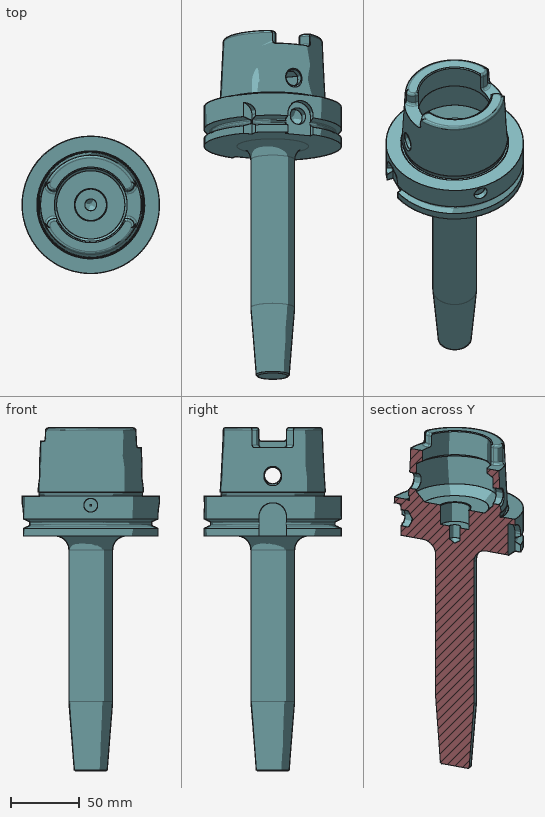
import cadquery as cq
import math


TAPER_TOP = 49.9
GAUGE_HEIGHT = 20.0
GAUGE_RADIUS = 37.5
TAPER_SLOPE = 1 / 20

RELIEF_TOP = 3.2
RELIEF_RADIUS = 37.8
RELIEF_BEND = 1.6
RELIEF_ROOT_RADIUS = 37.4
RELIEF_CHAMFER = 0.5
RELIEF_OUTER_RADIUS = 39.3
RELIEF_DEPTH = 0.5

FLANGE_RADIUS = 50.0
FLANGE_THICKNESS = 29.0
GROOVE_HEIGHT = -20.0
GROOVE_MOUTH_WIDTH = 6.9
GROOVE_FLOOR_WIDTH = 2.6
GROOVE_FLOOR_RADIUS = 45.4
GROOVE_FILLET = 1.0

NECK_RADIUS = 16.0
NECK_FILLET = 10.0
NOSE_BOTTOM = -200.0
NOSE_RADIUS = 12.0
NOSE_ANGLE = 4.5
NOSE_CHAMFER = 1.0

MOUTH_RADIUS = 26.5
MOUTH_CHAMFER_WIDTH = 1.0
MOUTH_CHAMFER_DEPTH = 0.5
SHOULDER_TOP = 31.6
SHOULDER_ANGLE = 60.0
CAVITY_RADIUS = 31.5
CAVITY_FLOOR_RADIUS = 24.8
CAVITY_FLOOR = 0.5

SEAT_RADIUS = 11.4
SEAT_CHAMFER = 0.5
SEAT_DEPTH = 15.0
DRILL_RADIUS = 4.3
DRILL_DEPTH = 10.0
DRILL_HALF_ANGLE = 59.0

RIM_SLOT_WIDTH = 20.0
RIM_SLOT_CORNER = 5.0
LUG_REACH = 31.7
SHALLOW_SLOT_FLOOR = 40.0
DEEP_SLOT_FLOOR = 35.3
RIM_SLOT_FILLET = 2.0
LUG_TOP_FILLET = 2.0

ACCESS_RADIUS = 6.0
ACCESS_HEIGHT = 15.0
ACCESS_SINK_START = 36.7

KEYWAY_WIDTH = 20.0
KEYWAY_FLOOR = 44.4
KEYWAY_CENTER_HEIGHT = -14.8
KEYWAY_DRILL_RADIUS = 6.1
KEYWAY_DRILL_HEIGHT = -15.2
KEYWAY_DRILL_DEPTH = 6.0
NOTCH_WIDTH = 18.0
NOTCH_FLOOR = 32.4
NOTCH_SIDE = 31.2

CHIP_RADIUS = 5.0
CHIP_HEIGHT = -6.6
CHIP_FLOOR = 45.4
CHIP_PILOT_RADIUS = 0.6
CHIP_PILOT_DEPTH = 1.0

SEAM_ANGLE = 70.0
CUT_REACH = 60.0


def taper_radius(height):
    return GAUGE_RADIUS + (GAUGE_HEIGHT - height) * TAPER_SLOPE


def cone_depth(radius):
    """Depth of a drill point of the given radius."""
    return radius / math.tan(math.radians(DRILL_HALF_ANGLE))


def revolve(outline):
    """Turn an outline drawn as (radius, height) about the Z axis, its seam clear of the slots and pockets."""
    turned = outline.close().revolve(360, (0, 0, 0), (0, 1, 0))
    return turned.rotate((0, 0, 0), (0, 0, 1), SEAM_ANGLE)


def make_body():
    flange_bottom = -FLANGE_THICKNESS
    fillet_edge_radius = NECK_RADIUS + NECK_FILLET
    fillet_end = flange_bottom - NECK_FILLET
    arc_offset = NECK_FILLET * math.sqrt(0.5)
    taper_length = (NECK_RADIUS - NOSE_RADIUS) / math.tan(math.radians(NOSE_ANGLE))
    outline = (
        cq.Workplane("XZ")
        .moveTo(0, TAPER_TOP)
        .lineTo(taper_radius(TAPER_TOP), TAPER_TOP)
        .lineTo(taper_radius(RELIEF_TOP), RELIEF_TOP)
        .lineTo(RELIEF_RADIUS, RELIEF_TOP - RELIEF_CHAMFER)
        .lineTo(RELIEF_RADIUS, RELIEF_BEND)
        .lineTo(RELIEF_ROOT_RADIUS, -RELIEF_DEPTH)
        .lineTo(RELIEF_OUTER_RADIUS - RELIEF_DEPTH, -RELIEF_DEPTH)
        .lineTo(RELIEF_OUTER_RADIUS, 0)
        .lineTo(FLANGE_RADIUS, 0)
        .lineTo(FLANGE_RADIUS, flange_bottom)
        .lineTo(fillet_edge_radius, flange_bottom)
        .threePointArc(
            (fillet_edge_radius - arc_offset, fillet_end + arc_offset), (NECK_RADIUS, fillet_end)
        )
        .lineTo(NECK_RADIUS, NOSE_BOTTOM + taper_length)
        .lineTo(NOSE_RADIUS, NOSE_BOTTOM)
        .lineTo(0, NOSE_BOTTOM)
    )
    return revolve(outline).faces("<Z").chamfer(NOSE_CHAMFER)


def make_gripper_groove():
    """Ring-shaped groove around the flange, with sloped walls and rounded floor corners."""
    outline = (
        cq.Workplane("XZ")
        .moveTo(FLANGE_RADIUS, GROOVE_HEIGHT + GROOVE_MOUTH_WIDTH / 2)
        .lineTo(GROOVE_FLOOR_RADIUS, GROOVE_HEIGHT + GROOVE_FLOOR_WIDTH / 2)
        .lineTo(GROOVE_FLOOR_RADIUS, GROOVE_HEIGHT - GROOVE_FLOOR_WIDTH / 2)
        .lineTo(FLANGE_RADIUS, GROOVE_HEIGHT - GROOVE_MOUTH_WIDTH / 2)
    )
    floor_corners = cq.selectors.RadiusNthSelector(0)
    return revolve(outline).edges(floor_corners).fillet(GROOVE_FILLET)


def make_cavity():
    """Clamping bore with its undercut, the threaded seat and the pointed drilling."""
    shoulder_drop = (CAVITY_RADIUS - MOUTH_RADIUS) / math.tan(math.radians(SHOULDER_ANGLE))
    seat_floor = CAVITY_FLOOR - SEAT_DEPTH
    drill_end = seat_floor - DRILL_DEPTH
    outline = (
        cq.Workplane("XZ")
        .moveTo(0, TAPER_TOP)
        .lineTo(MOUTH_RADIUS + MOUTH_CHAMFER_WIDTH, TAPER_TOP)
        .lineTo(MOUTH_RADIUS, TAPER_TOP - MOUTH_CHAMFER_DEPTH)
        .lineTo(MOUTH_RADIUS, SHOULDER_TOP)
        .lineTo(CAVITY_RADIUS, SHOULDER_TOP - shoulder_drop)
        .lineTo(CAVITY_RADIUS, CAVITY_FLOOR + CAVITY_RADIUS - CAVITY_FLOOR_RADIUS)
        .lineTo(CAVITY_FLOOR_RADIUS, CAVITY_FLOOR)
        .lineTo(SEAT_RADIUS + SEAT_CHAMFER, CAVITY_FLOOR)
        .lineTo(SEAT_RADIUS, CAVITY_FLOOR - SEAT_CHAMFER)
        .lineTo(SEAT_RADIUS, seat_floor)
        .lineTo(DRILL_RADIUS, seat_floor)
        .lineTo(DRILL_RADIUS, drill_end)
        .lineTo(0, drill_end - cone_depth(DRILL_RADIUS))
    )
    return revolve(outline)


def make_rim_slot(side, floor):
    """Driving slot open to one side, its mouth flared by rounded lug ends."""
    half = RIM_SLOT_WIDTH / 2
    flare = half + RIM_SLOT_CORNER
    corner_start = LUG_REACH - RIM_SLOT_CORNER
    corner_x = corner_start + RIM_SLOT_CORNER * math.sqrt(0.5)
    corner_y = flare - RIM_SLOT_CORNER * math.sqrt(0.5)
    slot = (
        cq.Workplane("XY", origin=(0, 0, floor))
        .moveTo(0, -half)
        .lineTo(corner_start, -half)
        .threePointArc((corner_x, -corner_y), (LUG_REACH, -flare))
        .lineTo(CUT_REACH, -flare)
        .lineTo(CUT_REACH, flare)
        .lineTo(LUG_REACH, flare)
        .threePointArc((corner_x, corner_y), (corner_start, half))
        .lineTo(0, half)
        .close()
        .extrude(CUT_REACH)
        .faces("<Z")
        .edges()
        .fillet(RIM_SLOT_FILLET)
    )
    return slot if side > 0 else slot.mirror("YZ")


def make_access_hole():
    """Cross hole through both taper walls with a 45 degree countersink at each end."""
    sink_length = taper_radius(0) + 1 - ACCESS_SINK_START
    hole = (
        cq.Workplane("YZ", origin=(-CUT_REACH, 0, ACCESS_HEIGHT))
        .circle(ACCESS_RADIUS)
        .extrude(2 * CUT_REACH)
    )
    for side in (-1, 1):
        sink = cq.Solid.makeCone(
            ACCESS_RADIUS,
            ACCESS_RADIUS + sink_length,
            sink_length,
            pnt=cq.Vector(side * ACCESS_SINK_START, 0, ACCESS_HEIGHT),
            dir=cq.Vector(side, 0, 0),
        )
        hole = hole.union(cq.Workplane(sink))
    return hole


def make_round_top_slot(side, floor, width, center_y):
    """Flange slot with a round upper end, open outwards and downwards."""
    start = floor if side > 0 else -CUT_REACH
    half = width / 2
    return (
        cq.Workplane("YZ", origin=(start, center_y, KEYWAY_CENTER_HEIGHT))
        .moveTo(-half, -CUT_REACH)
        .lineTo(-half, 0)
        .threePointArc((0, half), (half, 0))
        .lineTo(half, -CUT_REACH)
        .close()
        .extrude(CUT_REACH - floor)
    )


def make_keyway_drill():
    """Pointed drilling in the floor of the -X keyway."""
    return (
        cq.Workplane("XY", origin=(-KEYWAY_FLOOR, 0, KEYWAY_DRILL_HEIGHT))
        .lineTo(0, KEYWAY_DRILL_RADIUS)
        .lineTo(KEYWAY_DRILL_DEPTH, KEYWAY_DRILL_RADIUS)
        .lineTo(KEYWAY_DRILL_DEPTH + cone_depth(KEYWAY_DRILL_RADIUS), 0)
        .close()
        .revolve(360, (0, 0, 0), (1, 0, 0))
    )


def make_chip_pocket():
    """Round pocket on the -Y side with a small pilot hole in its floor."""
    pocket = cq.Workplane("XZ", origin=(0, -CHIP_FLOOR, CHIP_HEIGHT))
    pilot = pocket.circle(CHIP_PILOT_RADIUS).extrude(-CHIP_PILOT_DEPTH)
    return pocket.circle(CHIP_RADIUS).extrude(CUT_REACH - CHIP_FLOOR).union(pilot)


notch_center_y = NOTCH_SIDE + NOTCH_WIDTH / 2

flange = (
    make_body()
    .cut(make_gripper_groove())
    .cut(make_round_top_slot(1, KEYWAY_FLOOR, KEYWAY_WIDTH, 0))
    .cut(make_round_top_slot(-1, KEYWAY_FLOOR, KEYWAY_WIDTH, 0))
    .cut(make_round_top_slot(-1, NOTCH_FLOOR, NOTCH_WIDTH, notch_center_y))
    .cut(make_keyway_drill())
    .cut(make_chip_pocket())
)

lugs = (
    flange.cut(make_rim_slot(-1, SHALLOW_SLOT_FLOOR))
    .cut(make_rim_slot(1, DEEP_SLOT_FLOOR))
    .faces(">Z")
    .edges()
    .fillet(LUG_TOP_FILLET)
)

result = lugs.cut(make_cavity()).cut(make_access_hole())